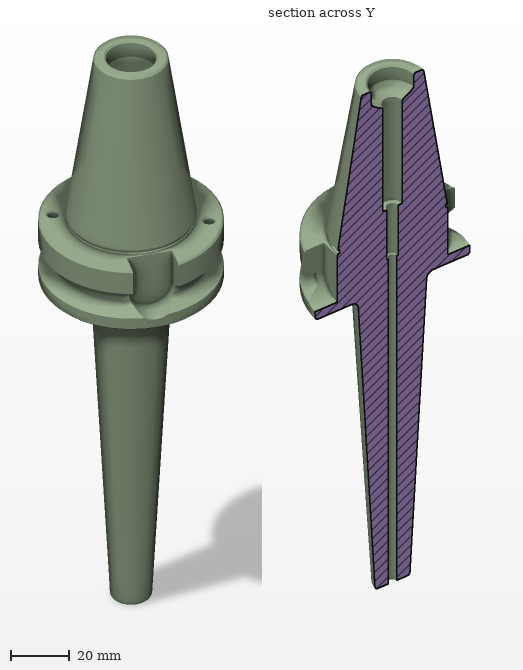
import cadquery as cq
import math

total_height = 225.5
gauge_height = 160.0
relief_bottom = 158.7
flange_top = 158.0
flange_bottom = 133.0

taper_large_radius = 22.3
taper_ratio = 7 / 24
taper_small_radius = taper_large_radius - (total_height - gauge_height) * taper_ratio / 2
relief_radius = 21.6
shank_chamfer = 0.7

flange_radius = 31.5
flange_top_chamfer = 0.7
flange_bottom_chamfer = 1.0
groove_radius = 26.5
groove_center = 143.4
groove_mouth_height = 10.4
groove_wall_angle = 30.0
groove_wall_rise = (flange_radius - groove_radius) * math.tan(math.radians(groove_wall_angle))
groove_floor_height = groove_mouth_height - 2 * groove_wall_rise
groove_base_fillet = 1.1

neck_radius = 14.0
neck_fillet = 2.7
tip_radius = 7.2
tip_round = 1.4

slot_width = 16.0
slot_bottom = 137.0
slot_floor_distance = 22.5

coolant_mouth_radius = 2.5
coolant_mouth_chamfer = 0.7
coolant_x = 9.0
coolant_y = 25.0
coolant_depth = flange_top - groove_center + groove_floor_height / 2

mouth_radius = 9.2
mouth_chamfer = 0.7
counterbore_radius = mouth_radius - mouth_chamfer
counterbore_depth = 6.3
cone_radius = 7.0
cone_top_depth = 8.0
coolant_bore_radius = 3.8
cone_depth = 2.0
coolant_bore_depth = 56.4
step_radius = 2.3
step_depth = 79.0
through_radius = 1.5


def make_body():
    """Revolve the outer outline about the Z axis."""
    groove_top = groove_center + groove_mouth_height / 2
    groove_base = groove_center - groove_mouth_height / 2
    floor_top = groove_center + groove_floor_height / 2
    floor_base = groove_center - groove_floor_height / 2
    wall_angle = math.radians(groove_wall_angle)
    fillet_tangent = groove_base_fillet * math.tan((math.pi / 2 - wall_angle) / 2)
    fillet_run = fillet_tangent * math.cos(wall_angle)
    fillet_drop = fillet_tangent * math.sin(wall_angle)
    outline = (
        cq.Workplane("XZ")
        .lineTo(tip_radius - tip_round, 0)
        .radiusArc((tip_radius, tip_round), -tip_round)
        .lineTo(neck_radius, flange_bottom - neck_fillet)
        .radiusArc((neck_radius + neck_fillet, flange_bottom), neck_fillet)
        .lineTo(flange_radius - flange_bottom_chamfer, flange_bottom)
        .lineTo(flange_radius, flange_bottom + flange_bottom_chamfer)
        .lineTo(flange_radius, groove_base)
        .lineTo(groove_radius + fillet_run, floor_base - fillet_drop)
        .radiusArc((groove_radius, floor_base + fillet_tangent), groove_base_fillet)
        .lineTo(groove_radius, floor_top)
        .lineTo(flange_radius, groove_top)
        .lineTo(flange_radius, flange_top - flange_top_chamfer)
        .lineTo(flange_radius - flange_top_chamfer, flange_top)
        .lineTo(taper_large_radius, flange_top)
        .lineTo(taper_large_radius, relief_bottom)
        .lineTo(relief_radius, relief_bottom)
        .lineTo(relief_radius, gauge_height)
        .lineTo(taper_large_radius, gauge_height)
        .lineTo(taper_small_radius, total_height - shank_chamfer)
        .lineTo(taper_small_radius - shank_chamfer, total_height)
        .lineTo(0, total_height)
        .close()
    )
    return outline.revolve(360, (0, 0, 0), (0, 1, 0))


def make_bore():
    """Revolve the stepped axial bore, open at both ends."""
    outline = (
        cq.Workplane("XZ")
        .lineTo(through_radius, 0)
        .lineTo(through_radius, total_height - step_depth)
        .lineTo(step_radius, total_height - step_depth)
        .lineTo(step_radius, total_height - coolant_bore_depth)
        .lineTo(coolant_bore_radius, total_height - coolant_bore_depth)
        .lineTo(coolant_bore_radius, total_height - cone_top_depth - cone_depth)
        .lineTo(cone_radius, total_height - cone_top_depth)
        .lineTo(counterbore_radius, total_height - counterbore_depth)
        .lineTo(counterbore_radius, total_height - mouth_chamfer)
        .lineTo(mouth_radius, total_height)
        .lineTo(0, total_height)
        .close()
    )
    return outline.revolve(360, (0, 0, 0), (0, 1, 0))


def make_key_slot(side):
    """Round-ended slot cut into the flange from the +X or -X side."""
    slot_radius = slot_width / 2
    straight_bottom = slot_bottom + slot_radius
    return (
        cq.Workplane("YZ", origin=(side * slot_floor_distance, 0, 0))
        .moveTo(-slot_radius, gauge_height)
        .lineTo(-slot_radius, straight_bottom)
        .threePointArc((0, slot_bottom), (slot_radius, straight_bottom))
        .lineTo(slot_radius, gauge_height)
        .close()
        .extrude(side * flange_radius)
    )


def make_coolant_hole(x, y):
    """Blind hole down from the flange top to the groove base, chamfered at its mouth."""
    hole_radius = coolant_mouth_radius - coolant_mouth_chamfer
    outline = (
        cq.Workplane("XZ", origin=(x, y, flange_top))
        .lineTo(coolant_mouth_radius, 0)
        .lineTo(hole_radius, -coolant_mouth_chamfer)
        .lineTo(hole_radius, -coolant_depth)
        .lineTo(0, -coolant_depth)
        .close()
    )
    return outline.revolve(360, (0, 0, 0), (0, 1, 0))


result = make_body().cut(make_bore())
for side in (-1, 1):
    result = result.cut(make_key_slot(side))
    result = result.cut(make_coolant_hole(side * coolant_x, side * coolant_y))